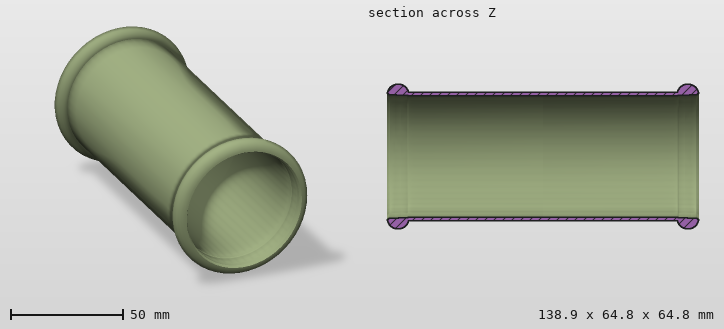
import cadquery as cq
import math

length = 139.0
tube_outer_radius = 57.5 / 2
tube_bore_radius = 54.0 / 2

bead_outer_radius = 64.76 / 2
bead_section_radius = 4.95
bead_centre_radius = bead_outer_radius - bead_section_radius
mouth_radius = 28.075

entry_radius = 54.7 / 2
seat_radius = 54.5 / 2
lead_in_depth = 1.3
entry_depth = 3.6
seat_start_depth = 6.3
seat_end_depth = 9.0
bore_start_depth = 9.6

half_length = length / 2


def bead_offset(radius):
    """Axial distance from the bead centre to its surface at the given radius."""
    return math.sqrt(bead_section_radius**2 - (radius - bead_centre_radius) ** 2)


def make_half():
    """Revolve the wall profile of the -X half about the X axis."""
    end_x = -half_length
    bead_centre_x = end_x + bead_section_radius
    mouth_x = bead_centre_x - bead_offset(mouth_radius)
    bead_root_x = bead_centre_x + bead_offset(tube_outer_radius)

    profile = (
        cq.Workplane("XY")
        .moveTo(0, tube_bore_radius)
        .lineTo(0, tube_outer_radius)
        .lineTo(bead_root_x, tube_outer_radius)
        .threePointArc((bead_centre_x, bead_outer_radius), (mouth_x, mouth_radius))
        .lineTo(end_x + lead_in_depth, entry_radius)
        .lineTo(end_x + entry_depth, entry_radius)
        .lineTo(end_x + seat_start_depth, seat_radius)
        .lineTo(end_x + seat_end_depth, seat_radius)
        .lineTo(end_x + bore_start_depth, tube_bore_radius)
        .close()
    )
    return profile.revolve(360, (0, 0, 0), (1, 0, 0))


left_half = make_half()
right_half = left_half.mirror("YZ")
result = left_half.union(right_half)